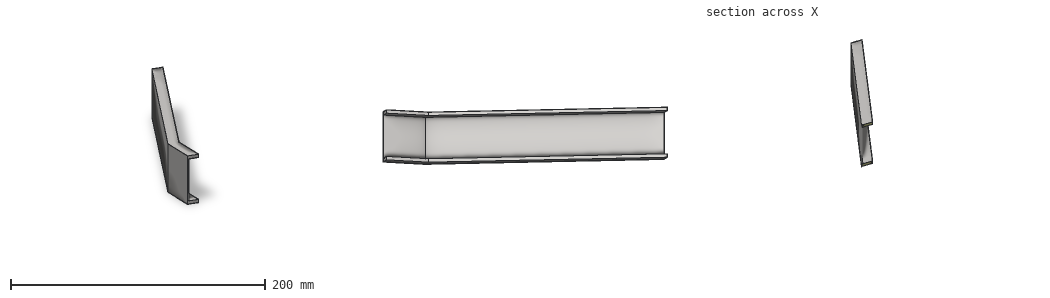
import cadquery as cq

length = 209.0
width = 83.0
height = 40.1

channel_depth = 9.8
web_thickness = 1.3
flange_thickness = 2.7

bend_x = 174.5
arm_rise = width - channel_depth


def bent_strip(front_y, back_y, strip_height):
    """Extrude the bent path, filled between two offsets along Y from its outer face."""
    return (
        cq.Workplane("XY")
        .polyline([
            (0, arm_rise + front_y),
            (bend_x, front_y),
            (length, front_y),
            (length, back_y),
            (bend_x, back_y),
            (0, arm_rise + back_y),
        ])
        .close()
        .extrude(strip_height)
    )


web = bent_strip(0, web_thickness, height)
bottom_flange = bent_strip(0, channel_depth, flange_thickness)
top_flange = bottom_flange.translate((0, 0, height - flange_thickness))

result = web.union(bottom_flange).union(top_flange)